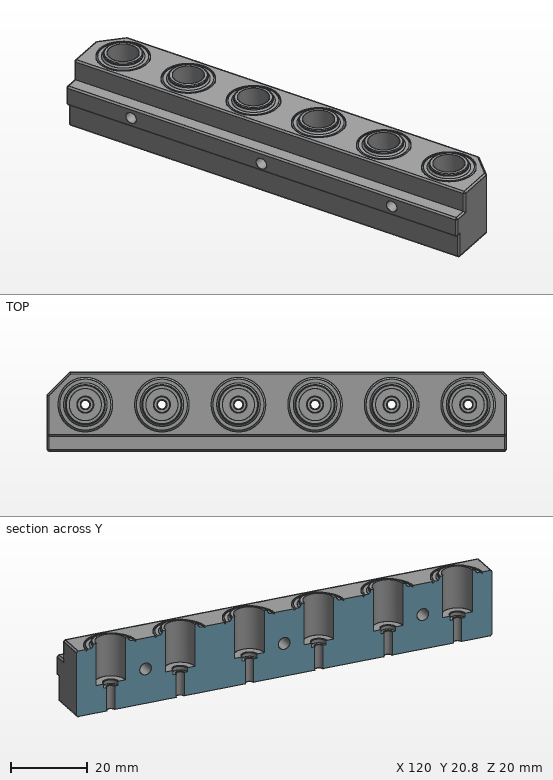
import cadquery as cq

length = 120.0
depth = 20.8
height = 20.0
collar_height = 1.1
body_height = height - collar_height
lower_setback = 1.2
upper_setback = 4.0
rail_bottom = 7.1
rail_top = 13.0
corner_cut = 6.0
edge_chamfer = 0.5

port_count = 6
port_pitch = length / port_count
port_y = 12.2
insert_diameter = 14.3
insert_chamfer = 0.5
collar_diameter = 10.5
collar_flare = 0.5
collar_chamfer = 0.2
bore_diameter = 8.4
bore_depth = 12.0
counterbore_diameter = 4.1
counterbore_depth = 1.2
hole_chamfer = 0.18
pin_hole_diameter = 2.3

cross_hole_diameter = 3.2
cross_hole_pitch = 2 * port_pitch
outer_hole_z = 10.0
middle_hole_z = 9.5

tolerance = 0.01


def make_body():
    """Extrude the side profile, cut the back corners and bevel the outer edges."""
    profile = [
        (lower_setback, 0),
        (depth, 0),
        (depth, body_height),
        (upper_setback, body_height),
        (upper_setback, rail_top),
        (0, rail_top),
        (0, rail_bottom),
        (lower_setback, rail_bottom),
    ]
    body = cq.Workplane("YZ").polyline(profile).close().extrude(length / 2, both=True)
    body = body.edges("|Z and >Y").chamfer(corner_cut)

    def is_sharp(edge):
        """Tell the outer edges from the inside corners and the blunt corners at the back."""
        box = edge.BoundingBox()
        center = edge.Center()
        inside_corner = box.xlen > length / 2 and (
            (abs(center.y - upper_setback) < tolerance and abs(center.z - rail_top) < tolerance)
            or (abs(center.y - lower_setback) < tolerance and abs(center.z - rail_bottom) < tolerance)
        )
        blunt_corner = box.zlen > tolerance and center.y > depth / 2
        return not (inside_corner or blunt_corner)

    sharp_edges = body.edges().filter(is_sharp)
    return sharp_edges.chamfer(edge_chamfer)


def turned(section):
    """Revolve a section of (radius, height) points about the Z axis."""
    return cq.Workplane("XZ").polyline(section).close().revolve(360, (0, 0), (0, 1))


def make_groove():
    """Return the V groove left around the bevelled rim of a flush insert."""
    outer_radius = insert_diameter / 2
    section = [
        (outer_radius, body_height),
        (outer_radius, body_height - insert_chamfer),
        (outer_radius - insert_chamfer, body_height),
    ]
    return turned(section)


def make_collar():
    """Return the collar on the top face, with a conical foot and a bevelled rim."""
    collar_radius = collar_diameter / 2
    section = [
        (0, body_height),
        (collar_radius + collar_flare, body_height),
        (collar_radius, body_height + collar_flare),
        (collar_radius, height - collar_chamfer),
        (collar_radius - collar_chamfer, height),
        (0, height),
    ]
    return turned(section)


def bevelled_hole(diameter, bottom, top):
    """Return the space of a round hole that widens at its mouth."""
    radius = diameter / 2
    section = [
        (0, bottom),
        (radius, bottom),
        (radius, top - hole_chamfer),
        (radius + hole_chamfer, top),
        (0, top),
    ]
    return turned(section)


def make_port_hole():
    """Return the stepped hole of one port."""
    bore_floor = height - bore_depth
    counterbore_floor = bore_floor - counterbore_depth
    bore = cq.Workplane("XY", origin=(0, 0, bore_floor)).circle(bore_diameter / 2).extrude(bore_depth)
    counterbore = bevelled_hole(counterbore_diameter, counterbore_floor, bore_floor)
    pin_hole = bevelled_hole(pin_hole_diameter, 0, counterbore_floor)
    return bore.union(counterbore).union(pin_hole)


def make_cross_hole(x, z):
    """Return one front-to-back hole."""
    return cq.Workplane("XZ").center(x, z).circle(cross_hole_diameter / 2).extrude(-depth)


result = make_body()

for index in range(port_count):
    place = ((index - (port_count - 1) / 2) * port_pitch, port_y, 0)
    result = result.cut(make_groove().translate(place))
    result = result.union(make_collar().translate(place))
    result = result.cut(make_port_hole().translate(place))

for x, z in [
    (-cross_hole_pitch, outer_hole_z),
    (0, middle_hole_z),
    (cross_hole_pitch, outer_hole_z),
]:
    result = result.cut(make_cross_hole(x, z))